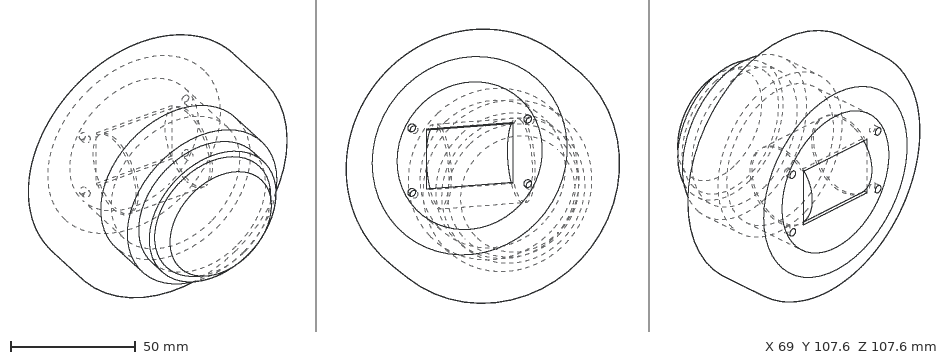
import cadquery as cq
import math


roller_radius = 17.0
roller_length = 34.0

face_x = 3.8
ring_back_x = 35.0
ring_radius = 53.8
ring_face_radius = 40.9
ring_bevel_angle = 20.0
front_edge_fillet = 3.0
back_edge_fillet = 2.0

holder_radius = 30.5
window_height = 24.8
window_length = 36.2
screw_hole_diameter = 3.2
screw_hole_depth = 3.2
screw_hole_y = 24.3
screw_hole_z = 13.4

flange_radius = 35.4
flange_end_x = 55.0
journal_radius = 30.0
journal_end_x = 63.0
stud_end_x = 69.0
stud_end_radius = 24.0
neck_angle = 30.0


def revolve_about_x(points):
    """Revolve a closed outline of (x, radius) points about the X axis."""
    return cq.Workplane("XY").polyline(points).close().revolve(360, (0, 0, 0), (1, 0, 0))


def cylinder_along_y(radius, length):
    """Cylinder on the roller axis, centred on Y = 0."""
    end_plane = cq.Workplane("XZ", origin=(roller_radius, length / 2, 0))
    return end_plane.circle(radius).extrude(length)


def make_ring():
    """Outer ring with a bevelled front and rounded rim edges."""
    bevel_depth = (ring_radius - ring_face_radius) * math.tan(math.radians(ring_bevel_angle))
    bevel_end_x = face_x + bevel_depth
    ring = revolve_about_x([
        (face_x, holder_radius),
        (face_x, ring_face_radius),
        (bevel_end_x, ring_radius),
        (ring_back_x, ring_radius),
        (ring_back_x, holder_radius),
    ])
    ring_rims = ring.edges(cq.selectors.RadiusNthSelector(-1))
    ring = ring_rims.edges("<X").fillet(front_edge_fillet)
    back_rim = ring.faces(">X").edges(cq.selectors.RadiusNthSelector(-1))
    return back_rim.fillet(back_edge_fillet)


def make_holder():
    """Disc with a roller chamber opening through a window, and four blind screw holes."""
    holder = cq.Workplane("YZ", origin=(face_x, 0, 0)).circle(holder_radius).extrude(ring_back_x - face_x)
    window = cq.Workplane("XY").box(
        roller_radius - face_x, window_length, window_height, centered=(False, True, True)
    ).translate((face_x, 0, 0))
    chamber = cylinder_along_y(roller_radius, window_length)
    screw_holes = (
        cq.Workplane("YZ", origin=(face_x, 0, 0))
        .rect(2 * screw_hole_y, 2 * screw_hole_z, forConstruction=True)
        .vertices()
        .circle(screw_hole_diameter / 2)
        .extrude(screw_hole_depth)
    )
    return holder.cut(window).cut(chamber).cut(screw_holes)


def make_stud():
    """Stepped stud: flange, journal and a tapered end neck."""
    neck_root_radius = stud_end_radius + (stud_end_x - journal_end_x) * math.tan(math.radians(neck_angle))
    return revolve_about_x([
        (ring_back_x, 0),
        (ring_back_x, flange_radius),
        (flange_end_x, flange_radius),
        (flange_end_x, journal_radius),
        (journal_end_x, journal_radius),
        (journal_end_x, neck_root_radius),
        (stud_end_x, stud_end_radius),
        (stud_end_x, 0),
    ])


ring = make_ring()
holder = make_holder()
roller = cylinder_along_y(roller_radius, roller_length)
stud = make_stud()

result = cq.Compound.makeCompound([ring.val(), holder.val(), roller.val(), stud.val()])